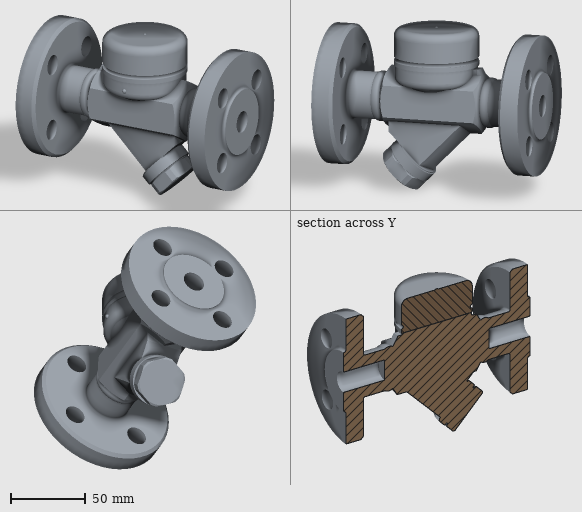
import cadquery as cq
import math

overall_length = 150.0

flange_diameter = 95.0
flange_thickness = 14.2
flange_edge_chamfer = 2.1
raised_face_diameter = 45.0
raised_face_height = 2.1
raised_face_fillet = 1.8
bolt_hole_diameter = 14.0
bolt_circle_diameter = 65.0
bolt_hole_count = 4
bolt_first_angle = 43.5
bore_diameter = 15.0
bore_depth = 33.0

pipe_diameter = 32.0
pipe_root_fillet = 1.4
bead_diameter = 34.0
bead_width = 6.2

hexagon_flats = 37.6
hexagon_length = 70.5
end_slope = math.tan(math.radians(60))

pedestal_diameter = 56.0
pedestal_bottom_z = 10.8
pedestal_fillet = 5.0
pedestal_throat_diameter = 33.0
pedestal_throat_drop = 4.2
cap_seat_z = 24.0

cap_diameter = 57.5
cap_top_z = 49.2
cap_top_fillet = 5.5
groove_bottom_z = 27.0
groove_top_z = 29.8
groove_depth = 1.6

mark_diameter = 3.0
cap_mark_depth = 0.9
pedestal_mark_z = 17.4

block_width = 9.9
block_top_z = 22.8
block_flank_x = -30.5
block_waist = 9.0
block_waist_x = -29.0
block_root = 12.0
block_root_x = -26.4

branch_drop = 25.2
branch_flats = 25.2
branch_start = -6.0
branch_end = 36.3
branch_right_x = 29.8
seat_diameter = 32.0
seat_thickness = 0.8

collar_diameter = 34.0
collar_thickness = 7.0
neck_diameter = 30.0
neck_length = 0.8
plug_flats = 31.0
plug_head_length = 9.3
plug_corner_diameter = 33.6
plug_end_slope = math.tan(math.radians(30))

half_length = overall_length / 2
flange_face_x = half_length - raised_face_height
flange_back_x = flange_face_x - flange_thickness
flange_radius = flange_diameter / 2
raised_face_radius = raised_face_diameter / 2
pipe_radius = pipe_diameter / 2
bead_radius = bead_diameter / 2
hexagon_end_x = hexagon_length / 2
bead_start_x = hexagon_end_x + bead_width
hexagon_corner_radius = hexagon_flats / math.sqrt(3)
pedestal_radius = pedestal_diameter / 2
throat_radius = pedestal_throat_diameter / 2
cap_radius = cap_diameter / 2
diagonal = math.sqrt(0.5)


def arc_middle(center_a, center_b, radius, degrees):
    """Point on a circle, used as the middle point of a three-point arc."""
    angle = math.radians(degrees)
    return (center_a + radius * math.cos(angle), center_b + radius * math.sin(angle))


def hexagon(plane, flats, length):
    """Hexagonal prism with one pair of corners on the plane's local X axis."""
    return cq.Workplane(plane).polygon(6, 2 * flats / math.sqrt(3)).extrude(length)


def flanged_end():
    """Flange, pipe and bead of the +X end, revolved about X."""
    fillet_x = flange_face_x + raised_face_fillet
    pipe_start_x = flange_back_x - pipe_root_fillet
    face_arc = arc_middle(fillet_x, raised_face_radius + raised_face_fillet, raised_face_fillet, 225)
    root_arc = arc_middle(pipe_start_x, pipe_radius + pipe_root_fillet, pipe_root_fillet, -45)
    end = (
        cq.Workplane("XY")
        .moveTo(0, 0)
        .lineTo(half_length, 0)
        .lineTo(half_length, raised_face_radius)
        .lineTo(fillet_x, raised_face_radius)
        .threePointArc(face_arc, (flange_face_x, raised_face_radius + raised_face_fillet))
        .lineTo(flange_face_x, flange_radius)
        .lineTo(flange_back_x + flange_edge_chamfer, flange_radius)
        .lineTo(flange_back_x, flange_radius - flange_edge_chamfer)
        .lineTo(flange_back_x, pipe_radius + pipe_root_fillet)
        .threePointArc(root_arc, (pipe_start_x, pipe_radius))
        .lineTo(bead_start_x, pipe_radius)
        .threePointArc((bead_start_x - bead_width / 2, bead_radius), (hexagon_end_x, pipe_radius))
        .lineTo(0, pipe_radius)
        .close()
        .revolve(360, (0, 0, 0), (1, 0, 0))
    )
    bore = (
        cq.Workplane("YZ", origin=(half_length - bore_depth, 0, 0))
        .circle(bore_diameter / 2)
        .extrude(bore_depth)
    )
    bolt_holes = (
        cq.Workplane("YZ", origin=(flange_back_x, 0, 0))
        .polarArray(bolt_circle_diameter / 2, bolt_first_angle, 360, bolt_hole_count)
        .circle(bolt_hole_diameter / 2)
        .extrude(flange_thickness)
    )
    return end.cut(bore).cut(bolt_holes)


def end_coned_envelope():
    """Round envelope whose conical ends trim the hexagon and the stop block."""
    envelope_radius = hexagon_corner_radius + pedestal_radius
    cone_length = (envelope_radius - pipe_radius) / end_slope
    return (
        cq.Workplane("XY")
        .moveTo(-hexagon_end_x, 0)
        .lineTo(-hexagon_end_x, pipe_radius)
        .lineTo(cone_length - hexagon_end_x, envelope_radius)
        .lineTo(hexagon_end_x - cone_length, envelope_radius)
        .lineTo(hexagon_end_x, pipe_radius)
        .lineTo(hexagon_end_x, 0)
        .close()
        .revolve(360, (0, 0, 0), (1, 0, 0))
    )


def hexagonal_centre():
    plane = cq.Plane(origin=(-hexagon_end_x, 0, 0), xDir=(0, 0, 1), normal=(1, 0, 0))
    return hexagon(plane, hexagon_flats, hexagon_length)


def stop_block():
    """Block beside the pedestal, with a hollow round on each flank that flares into the pedestal."""
    half_width = block_width / 2
    half_waist = block_waist / 2
    half_root = block_root / 2
    return (
        cq.Workplane("XY")
        .moveTo(-hexagon_end_x, -half_width)
        .lineTo(block_flank_x, -half_width)
        .threePointArc((block_waist_x, -half_waist), (block_root_x, -half_root))
        .lineTo(0, -half_root)
        .lineTo(0, half_root)
        .lineTo(block_root_x, half_root)
        .threePointArc((block_waist_x, half_waist), (block_flank_x, half_width))
        .lineTo(-hexagon_end_x, half_width)
        .close()
        .extrude(block_top_z)
    )


def pedestal():
    """Round seat below the cap, with a rounded and necked underside."""
    fillet_center_r = pedestal_radius - pedestal_fillet
    fillet_center_z = pedestal_bottom_z + pedestal_fillet
    throat_z = pedestal_bottom_z - pedestal_throat_drop
    body = (
        cq.Workplane("XZ")
        .moveTo(0, cap_seat_z)
        .lineTo(pedestal_radius, cap_seat_z)
        .lineTo(pedestal_radius, fillet_center_z)
        .threePointArc(
            arc_middle(fillet_center_r, fillet_center_z, pedestal_fillet, -45),
            (fillet_center_r, pedestal_bottom_z),
        )
        .lineTo(throat_radius, throat_z)
        .lineTo(0, throat_z)
        .close()
        .revolve(360, (0, 0, 0), (0, 1, 0))
    )
    mark = cq.Workplane("XY", origin=(0, -pedestal_radius, pedestal_mark_z)).sphere(mark_diameter / 2)
    return body.union(mark)


def branch_plane(distance):
    """Plane square to the branch axis, local X pointing up and toward +X."""
    center = -branch_drop / 2
    return cq.Plane(
        origin=(center + distance * diagonal, 0, center - distance * diagonal),
        xDir=(1, 0, 1),
        normal=(1, 0, -1),
    )


def branch():
    """Half-hexagonal branch, filled out toward +X and ended by a round seat."""
    half_flats = branch_flats / 2
    corner = branch_flats / math.sqrt(3)
    fill_reach = hexagon_corner_radius + branch_right_x
    arm = (
        cq.Workplane(branch_plane(branch_start))
        .polyline([
            (-corner, 0),
            (-corner / 2, half_flats),
            (fill_reach, half_flats),
            (fill_reach, -half_flats),
            (-corner / 2, -half_flats),
        ])
        .close()
        .extrude(branch_end - branch_start)
    )
    kept_space = cq.Workplane("XY").box(
        2 * branch_right_x, flange_diameter, flange_diameter
    ).translate((0, 0, -flange_radius))
    seat = cq.Workplane(branch_plane(branch_end)).circle(seat_diameter / 2).extrude(seat_thickness)
    return arm.intersect(kept_space).union(seat)


def plug_head(distance):
    """Hexagonal head with flattened corners and conical ends."""
    plane = branch_plane(distance)
    flat_radius = plug_flats / 2
    corner_radius = plug_flats / math.sqrt(3)
    cone_length = (corner_radius - flat_radius) * plug_end_slope
    flattening = (
        cq.Workplane(plane)
        .transformed(rotate=(0, 0, 30))
        .polygon(6, 2 * plug_corner_diameter / math.sqrt(3))
        .extrude(plug_head_length)
    )
    profile_plane = cq.Plane(origin=plane.origin, xDir=plane.xDir, normal=plane.yDir * -1)
    coned = (
        cq.Workplane(profile_plane)
        .moveTo(0, 0)
        .lineTo(flat_radius, 0)
        .lineTo(corner_radius, cone_length)
        .lineTo(corner_radius, plug_head_length - cone_length)
        .lineTo(flat_radius, plug_head_length)
        .lineTo(0, plug_head_length)
        .close()
        .revolve(360, (0, 0, 0), (0, 1, 0))
    )
    return hexagon(plane, plug_flats, plug_head_length).intersect(flattening).intersect(coned)


def plug():
    """Collar, neck and head of the strainer plug."""
    collar_start = branch_end + seat_thickness
    neck_start = collar_start + collar_thickness
    collar = cq.Workplane(branch_plane(collar_start)).circle(collar_diameter / 2).extrude(collar_thickness)
    neck = cq.Workplane(branch_plane(neck_start)).circle(neck_diameter / 2).extrude(neck_length)
    return collar.union(neck).union(plug_head(neck_start + neck_length))


def build_housing():
    """Flanged ends, centre, pedestal, branch and plug as one solid."""
    center = hexagonal_centre().union(stop_block()).intersect(end_coned_envelope())
    right_end = flanged_end()
    left_end = right_end.mirror("YZ")
    housing_parts = [pedestal(), branch(), plug(), right_end, left_end]
    for housing_part in housing_parts:
        center = center.union(housing_part)
    return center


def build_cap():
    """Round cap with a rounded top edge and a round-bottomed groove."""
    fillet_center_r = cap_radius - cap_top_fillet
    fillet_center_z = cap_top_z - cap_top_fillet
    groove_middle_z = (groove_bottom_z + groove_top_z) / 2
    body = (
        cq.Workplane("XZ")
        .moveTo(0, cap_seat_z)
        .lineTo(cap_radius, cap_seat_z)
        .lineTo(cap_radius, groove_bottom_z)
        .threePointArc((cap_radius - groove_depth, groove_middle_z), (cap_radius, groove_top_z))
        .lineTo(cap_radius, fillet_center_z)
        .threePointArc(
            arc_middle(fillet_center_r, fillet_center_z, cap_top_fillet, 45),
            (fillet_center_r, cap_top_z),
        )
        .lineTo(0, cap_top_z)
        .close()
        .revolve(360, (0, 0, 0), (0, 1, 0))
    )
    mark = cq.Workplane("XY", origin=(0, 0, cap_top_z - cap_mark_depth)).sphere(mark_diameter / 2)
    return body.union(mark)


housing = build_housing()
cap = build_cap()
result = cq.Compound.makeCompound([housing.val(), cap.val()])